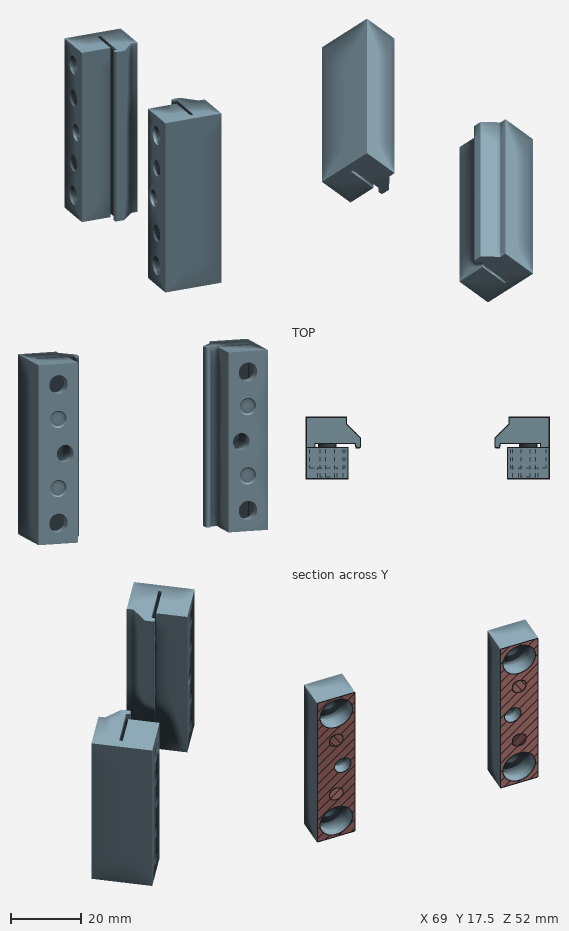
import cadquery as cq

overall_width = 69
overall_thickness = 17.5
bar_length = 52.0

block_width = 11.9
block_thickness = 9

jaw_width = 15.45
back_width = 11.45
step_depth = 1.9
bevel_size = jaw_width - back_width
heel_width = 2.55
recess_depth = 1.05
lip_width = 1.3
lip_base_width = 1.6
lip_overhang = 0.15
lip_corner_radius = 0.5

main_row_inset = 6.0
centre_hole_inset = 8.0
hole_pitch = 10.0
pin_heights = [-hole_pitch, hole_pitch]
mounting_heights = [-2 * hole_pitch, 2 * hole_pitch]

mounting_diameter = 5.5
counterbore_diameter = 10.0
mounting_web = 3.2
centre_hole_diameter = 5.0
pin_tip_diameter = 4.15
pin_shank_diameter = 5.0
countersink_depth = 0.6

outer_x = -overall_width / 2
front_y = -overall_thickness / 2
back_y = overall_thickness / 2
seat_y = front_y + block_thickness
recess_y = seat_y + recess_depth
bottom_z = -bar_length / 2


def round_bar(diameter, inset, height, start_y, end_y):
    """Cylinder along +Y from start_y to end_y, at an inset from the outer side."""
    start = cq.Vector(outer_x + inset, start_y, height)
    bar = cq.Solid.makeCylinder(diameter / 2, end_y - start_y, start, cq.Vector(0, 1, 0))
    return cq.Workplane(bar)


def countersink(height):
    """Cone that narrows from the block's front face to the pin tip."""
    start = cq.Vector(outer_x + main_row_inset, front_y, height)
    cone = cq.Solid.makeCone(
        pin_shank_diameter / 2, pin_tip_diameter / 2, countersink_depth, start, cq.Vector(0, 1, 0)
    )
    return cq.Workplane(cone)


def make_block():
    block = cq.Workplane().box(block_width, block_thickness, bar_length, centered=False)
    block = block.translate((outer_x, front_y, bottom_z))
    counterbore_y = front_y + mounting_web
    block = block.cut(round_bar(centre_hole_diameter, centre_hole_inset, 0, front_y, seat_y))
    for height in mounting_heights:
        block = block.cut(round_bar(mounting_diameter, main_row_inset, height, front_y, seat_y))
        block = block.cut(round_bar(counterbore_diameter, main_row_inset, height, counterbore_y, seat_y))
    for height in pin_heights:
        block = block.cut(round_bar(pin_tip_diameter, main_row_inset, height, front_y, seat_y))
        block = block.cut(countersink(height))
    return block


def make_jaw():
    inner_x = outer_x + jaw_width
    step_x = outer_x + back_width
    step_y = back_y - step_depth
    lip_y = seat_y - lip_overhang
    profile = [
        (outer_x, back_y),
        (step_x, back_y),
        (step_x, step_y),
        (inner_x, step_y - bevel_size),
        (inner_x, lip_y),
        (inner_x - lip_width, lip_y),
        (inner_x - lip_base_width, recess_y),
        (outer_x + heel_width, recess_y),
        (outer_x + heel_width, seat_y),
        (outer_x, seat_y),
    ]
    jaw = cq.Workplane().workplane(offset=bottom_z).polyline(profile).close().extrude(bar_length)
    lip_corner = cq.selectors.NearestToPointSelector((inner_x, lip_y, 0))
    return jaw.edges(lip_corner).fillet(lip_corner_radius)


def make_pin(height):
    tip_y = front_y + countersink_depth
    tip = round_bar(pin_tip_diameter, main_row_inset, height, tip_y, seat_y)
    shank = round_bar(pin_shank_diameter, main_row_inset, height, seat_y, recess_y)
    return tip.union(shank)


left_clamp = [make_block(), make_jaw()]
for pin_height in pin_heights:
    left_clamp.append(make_pin(pin_height))
right_clamp = [body.mirror("YZ") for body in left_clamp]

result = cq.Compound.makeCompound([body.val() for body in left_clamp + right_clamp])